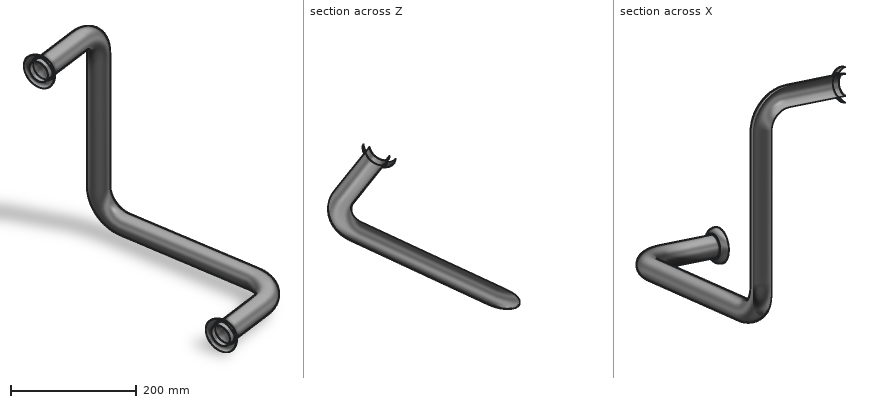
import cadquery as cq
import math

overall_size = 422.0
overall_depth = 179.0
tube_diameter = 38.0
bore_diameter = 36.0
bend_radius = 52.5

flange_diameter = 60.0
flange_hole_diameter = 38.5
flange_height = 11.5
flange_top_radius = 21.5
shoulder_radius = 24.5
shoulder_drop = 1.3
dome_bulge = 1.48
sheet_thickness = 0.5

end_spacing = overall_size - flange_diameter
rail_depth = overall_depth - tube_diameter / 2
wall_ends = [(0, end_spacing), (end_spacing, 0)]
bend_mid_offset = bend_radius * (1 - math.sqrt(0.5))


def rail_path():
    """Centreline with three equal right-angle bends."""
    r = bend_radius
    m = bend_mid_offset
    far = end_spacing
    back = rail_depth
    top_bend = [(0, back - r, far), (0, back - m, far - m), (0, back, far - r)]
    corner_bend = [(0, back, r), (m, back, m), (r, back, 0)]
    side_bend = [(far - r, back, 0), (far - m, back - m, 0), (far, back - r, 0)]
    edges = []
    previous = cq.Vector(0, 0, far)
    for bend in (top_bend, corner_bend, side_bend):
        start, middle, end = [cq.Vector(*point) for point in bend]
        edges.append(cq.Edge.makeLine(previous, start))
        edges.append(cq.Edge.makeThreePointArc(start, middle, end))
        previous = end
    edges.append(cq.Edge.makeLine(previous, cq.Vector(far, 0, 0)))
    return cq.Wire.assembleEdges(edges)


def make_rail():
    """Bent hollow tube, open at both wall ends."""
    section = (
        cq.Workplane("XZ")
        .center(0, end_spacing)
        .circle(tube_diameter / 2)
        .circle(bore_diameter / 2)
    )
    return section.sweep(cq.Workplane(obj=rail_path()))


def dome_middle(start, end):
    """Middle point of the dome arc, pushed outward from its chord."""
    dr = end[0] - start[0]
    dy = end[1] - start[1]
    chord = math.hypot(dr, dy)
    middle_radius = (start[0] + end[0]) / 2 - dome_bulge * dy / chord
    middle_y = (start[1] + end[1]) / 2 + dome_bulge * dr / chord
    return (middle_radius, middle_y)


def make_flange(x, z):
    """Thin domed cover, open towards the wall, with a hole for the tube."""
    t = sheet_thickness
    hole_radius = flange_hole_diameter / 2
    outer_shoulder = (shoulder_radius, flange_height - shoulder_drop)
    outer_rim = (flange_diameter / 2, 0)
    inner_shoulder = (shoulder_radius - t, flange_height - shoulder_drop - t)
    inner_rim = (flange_diameter / 2 - t, 0)
    profile = (
        cq.Workplane("XY")
        .moveTo(hole_radius, flange_height)
        .lineTo(flange_top_radius, flange_height)
        .lineTo(*outer_shoulder)
        .threePointArc(dome_middle(outer_shoulder, outer_rim), outer_rim)
        .lineTo(*inner_rim)
        .threePointArc(dome_middle(inner_shoulder, inner_rim), inner_shoulder)
        .lineTo(flange_top_radius, flange_height - t)
        .lineTo(hole_radius, flange_height - t)
        .close()
    )
    return profile.revolve(360, (0, 0, 0), (0, 1, 0)).translate((x, 0, z))


rail = make_rail()
flanges = [make_flange(x, z) for x, z in wall_ends]

result = cq.Compound.makeCompound([rail.val(), *[flange.val() for flange in flanges]])